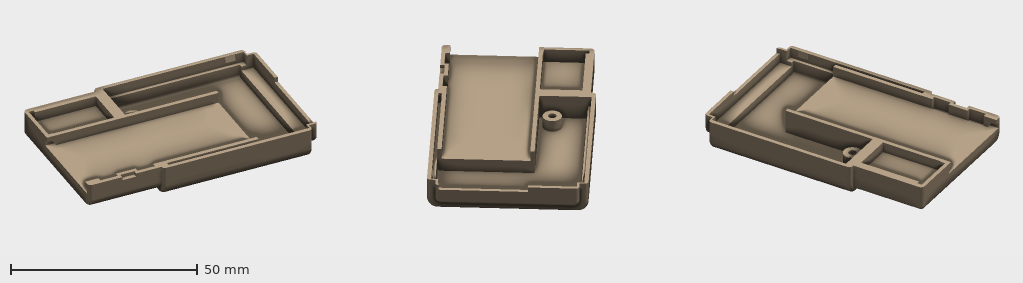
import cadquery as cq

width = 43.41
length = 68.75
height = 9.06
front_y = -length / 2
back_y = length / 2
edge_radius = 1.0

main_front_y = -12.75
main_back_y = 31.8
main_side_radius = 3.0

front_left_x = -20.3
front_right_x = 20.72
front_base_z = 1.62
front_right_radius = 2.5
front_end_radius = 1.15

tongue_half_width = 19.35
tongue_base_z = 3.19
tongue_side_radius = 1.4

ledge_z = 5.95
tray_half_width = 20.57
tray_front_y = -10.6
tray_back_y = 31.3
tongue_inner_half_width = 18.65
tongue_shelf_z = 4.65
back_wall_thickness = 1.0
back_wall_inner_y = back_y - back_wall_thickness

cavity_half_width = 19.63
cavity_floor_z = 2.1
cavity_back_y = 29.75
cavity_corner_y = 16.65
cavity_inner_x = -6.53
cavity_floor_radius = 0.75

channel_left_x = -5.39
channel_right_x = 18.45
channel_floor_z = ledge_z

lip_z = 7.6
undercut_left_x = -6.4
undercut_right_x = 19.5
undercut_floor_length = 2.8
undercut_roof_length = 1.5

notch_left_x = -5.6
notch_right_x = 18.5

post_x = -10.2
post_y = -6.45
post_diameter = 5.2
post_hole_diameter = 2.3
post_top_z = 5.45

pocket_left_x = -18.0
pocket_back_y = -13.8
pocket_front_y = -31.9
pocket_floor_z = 6.0
slot_left_x = -18.95
slot_right_x = -6.7
slot_front_y = -33.3
slot_floor_z = 5.0

recess_back_ys = (-14.25, -25.25)
recess_length = 5.1
recess_drop = 0.5
recess_floor_z = channel_floor_z - recess_drop
rim_cut_inner_x = 19.5
rim_cut_back_y = -20.24
rim_cut_front_y = -24.4
rim_cut_depth = 1.0

catch_front_y = 25.75
catch_back_y = 28.7
catch_base_z = 7.35
catch_top_z = 8.95
catch_depth = 0.55


def block(x_range, y_range, z_range):
    """Axis-aligned box spanning the three ranges."""
    (x0, x1), (y0, y1), (z0, z1) = x_range, y_range, z_range
    return cq.Workplane("XY").box(x1 - x0, y1 - y0, z1 - z0, centered=False).translate((x0, y0, z0))


def open_cut(x_range, y_range, floor_z):
    """Box that removes everything above floor_z."""
    return block(x_range, y_range, (floor_z, height))


def make_main_body():
    body = block((-width / 2, width / 2), (main_front_y, main_back_y), (0, height))
    body = body.edges("|Y and <Z").fillet(main_side_radius)
    end_edges = body.faces("<Y or >Y").edges("not >Z")
    return end_edges.fillet(edge_radius)


def make_front_section():
    body = block((front_left_x, front_right_x), (front_y, tray_front_y), (front_base_z, height))
    body = body.edges("|Y and <Z and >X").fillet(front_right_radius)
    body = body.edges("|Y and <Z and <X").fillet(edge_radius)
    return body.faces("<Y").edges("not >Z").fillet(front_end_radius)


def make_tongue():
    x_range = (-tongue_half_width, tongue_half_width)
    body = block(x_range, (cavity_back_y, back_y), (tongue_base_z, height))
    body = body.edges("|Y and <Z").fillet(tongue_side_radius)
    return body.faces(">Y").edges("not >Z").fillet(edge_radius)


def make_cavity():
    """L-shaped cavity: a strip down the left side and a strip across the back."""
    left_x = (-cavity_half_width, cavity_inner_x)
    left_strip = open_cut(left_x, (tray_front_y, cavity_back_y), cavity_floor_z)
    left_strip = left_strip.edges("|Y and <X and <Z").fillet(cavity_floor_radius)
    back_x = (cavity_inner_x, cavity_half_width)
    back_strip = open_cut(back_x, (cavity_corner_y, cavity_back_y), cavity_floor_z)
    back_strip = back_strip.edges("|Y and >X and <Z").fillet(cavity_floor_radius)
    return left_strip.union(back_strip)


def make_tray():
    """Ledges along both sides, joined across the back and into the tongue."""
    left_ledge = open_cut((-tray_half_width, -cavity_half_width), (tray_front_y, tray_back_y), ledge_z)
    right_ledge = left_ledge.mirror("YZ")
    back_ledge = open_cut((-tray_half_width, tray_half_width), (cavity_back_y, tray_back_y), ledge_z)
    tongue_x = (-tongue_inner_half_width, tongue_inner_half_width)
    tongue_recess = open_cut(tongue_x, (cavity_back_y, back_wall_inner_y), tongue_shelf_z)
    return left_ledge.union(right_ledge).union(back_ledge).union(tongue_recess)


def make_channel():
    channel = open_cut((channel_left_x, channel_right_x), (front_y, cavity_corner_y), channel_floor_z)
    mouth = (
        cq.Workplane("YZ")
        .moveTo(front_y, channel_floor_z)
        .lineTo(front_y + undercut_floor_length, channel_floor_z)
        .lineTo(front_y + undercut_roof_length, lip_z)
        .lineTo(front_y, lip_z)
        .close()
        .extrude(undercut_right_x - undercut_left_x)
        .translate((undercut_left_x, 0, 0))
    )
    return channel.union(mouth)


def make_pocket():
    pocket = open_cut((pocket_left_x, cavity_inner_x), (pocket_front_y, pocket_back_y), pocket_floor_z)
    slot = open_cut((slot_left_x, slot_right_x), (slot_front_y, pocket_front_y), slot_floor_z)
    return pocket.union(slot)


def make_wall_recess(recess_back_y):
    y_range = (recess_back_y - recess_length, recess_back_y)
    return open_cut((channel_right_x, cavity_half_width), y_range, recess_floor_z)


def make_catch():
    """Catch on the right wall: flush at the top, thickest at its base."""
    return (
        cq.Workplane("XZ")
        .moveTo(tray_half_width, catch_base_z)
        .lineTo(tray_half_width - catch_depth, catch_base_z)
        .lineTo(tray_half_width, catch_top_z)
        .close()
        .extrude(catch_front_y - catch_back_y)
        .translate((0, catch_front_y, 0))
    )


def make_rim_cut():
    x_range = (rim_cut_inner_x, front_right_x)
    return open_cut(x_range, (rim_cut_front_y, rim_cut_back_y), height - rim_cut_depth)


def make_back_notch():
    return open_cut((notch_left_x, notch_right_x), (back_wall_inner_y, back_y), lip_z)


def make_upright_cylinder(diameter, bottom_z, top_z):
    """Cylinder on the screw post's axis."""
    plane = cq.Workplane("XY").workplane(offset=bottom_z)
    return plane.center(post_x, post_y).circle(diameter / 2).extrude(top_z - bottom_z)


body = make_main_body().union(make_front_section()).union(make_tongue())

body = body.cut(make_cavity()).cut(make_tray()).cut(make_channel()).cut(make_pocket())

for recess_back_y in recess_back_ys:
    body = body.cut(make_wall_recess(recess_back_y))
body = body.cut(make_rim_cut()).cut(make_back_notch())

catch = make_catch()
body = body.union(catch).union(catch.mirror("YZ"))
body = body.union(make_upright_cylinder(post_diameter, cavity_floor_z, post_top_z))
result = body.cut(make_upright_cylinder(post_hole_diameter, 0, height))